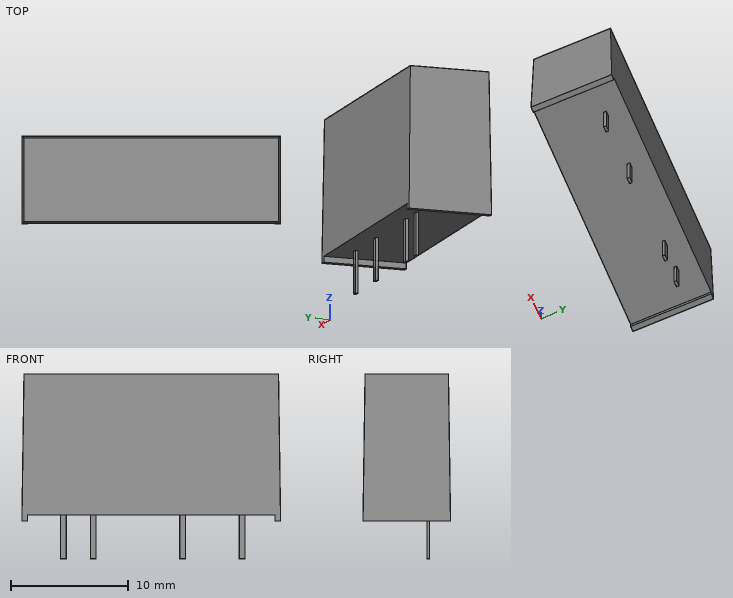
import cadquery as cq

length = 22.0
width = 7.45
height = 12.5
top_inset = 0.18

foot_length = 0.5
foot_height = 0.5

total_height = 15.7
pin_width = 0.5
pin_thickness = 0.25
pin_pitch = 2.53
first_pin_x = -7.45
pin_y = 1.83
pin_slots = (0, 1, 4, 6)

pin_length = total_height - height + foot_height


def make_housing():
    """Tapered block with its feet standing on Z = 0."""
    block = (
        cq.Workplane("XY")
        .rect(length, width)
        .workplane(offset=height)
        .rect(length - 2 * top_inset, width - 2 * top_inset)
        .loft(ruled=True)
    )
    channel = cq.Workplane("XY").box(
        length - 2 * foot_length, width, foot_height, centered=(True, True, False)
    )
    return block.cut(channel)


def make_pin(slot):
    """One flat lead hanging down from the channel ceiling."""
    pin_x = first_pin_x + slot * pin_pitch
    return (
        cq.Workplane("XY", origin=(pin_x, pin_y, foot_height - pin_length))
        .box(pin_width, pin_thickness, pin_length, centered=(True, True, False))
    )


housing = make_housing()
pins = [make_pin(slot) for slot in pin_slots]

result = cq.Compound.makeCompound([housing.val(), *[pin.val() for pin in pins]])